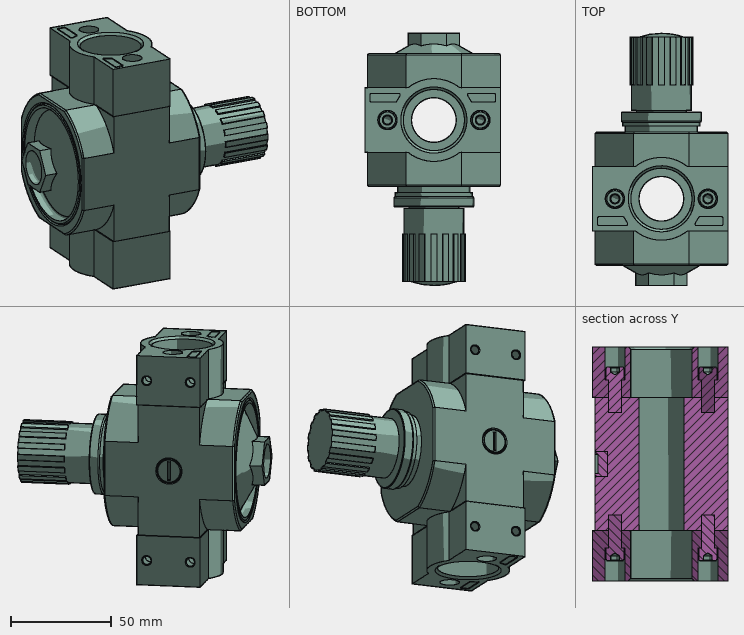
import cadquery as cq
import math


half_width = 33.0
round_radius = 35.8
edge_chamfer = 0.8
cross_half_depth = 15.5
port_dia = 22.0

bonnet_dia = 35.9
flange_dia = 38.4
ring_dia = 39.8
flange_start = 36.0
ring_start = 37.8
ring_end = 43.0
ring_chamfer = 0.4
ring_bevel_length = 0.8

knob_dia = 29.8
neck_dia = 24.9
knob_start = 43.8
rib_start = 56.4
rib_end = 80
rib_tip_dia = 31.2
rib_width = 2.9
rib_count = 16
dome_base_radius = 11.5
knob_top = 82.0

cap_dia = 60.8
cap_depth = 10
seat_chamfer = 0.6
dish_radius = 28.4
dish_fillet = 1.5
cone_base_radius = 26.9
cone_angle = 29.7
dish_floor = -28.6
hex_across_flats = 22.0
hex_end = -43.0
hex_recess_dia = 17.0
hex_recess_depth = 3.8
hex_recess_fillet = 1.1

plug_dia = 12.2
plug_depth = 6.2
plug_chamfer = 0.5
slot_width = 1.2
slot_length = 9.4
slot_depth = 1.5

plate_height = 25
plate_half_depth = 16.0
plate_overhang = 1.1
boss_radius = 20.5
plate_bore_dia = 30.2
bore_chamfer = 1.2
tapped_dia = 4.1
tapped_rim_dia = 5
tapped_depth = 7.5
tapped_offset = 11.0
drill_tip_angle = 118
label_inner = 16.1
label_inset = 2.5
label_top = -8.9
label_bottom = -13.2
label_slope = 60
label_corner = 0.8
label_depth = 0.4

screw_offset = 23.0
counterbore_dia = 9.6
head_dia = 9.2
head_height = 6.2
head_sink = 10
head_chamfer = 0.6
shank_dia = 6.2
shank_reach = 7.5
socket_depth = 2.5

plate_left = -half_width - plate_overhang
plate_right = half_width
plate_top = half_width + plate_height
head_top = plate_top - head_sink
head_bottom = head_top - head_height
shank_end = half_width - shank_reach
screw_places = [-screw_offset, screw_offset]


def disc_y(diameter, start, end):
    """Cylinder on the Y axis between two Y positions."""
    plane = cq.Workplane("XZ", origin=(0, start, 0))
    return plane.circle(diameter / 2).extrude(start - end)


def cylinder_z(diameter, bottom, top):
    """Cylinder on the Z axis between two Z positions."""
    return cq.Workplane("XY", origin=(0, 0, bottom)).circle(diameter / 2).extrude(top - bottom)


def cone_frustum(start_dia, end_dia, length, start, direction):
    """Frustum whose axis runs from the start point along the direction."""
    solid = cq.Solid.makeCone(
        start_dia / 2, end_dia / 2, length, cq.Vector(*start), cq.Vector(*direction))
    return cq.Workplane(solid)


def plug_blank():
    """Plain cylinder that fills the plug seat."""
    return cq.Workplane("YZ", origin=(-half_width, 0, 0)).circle(plug_dia / 2).extrude(plug_depth)


def drilled_hole(depth):
    """Tool for a bevelled blind hole that enters the plane Z = 0 downwards and ends in a drill tip."""
    rim = tapped_rim_dia / 2
    radius = tapped_dia / 2
    bevel = rim - radius
    tip = radius / math.tan(math.radians(drill_tip_angle / 2))
    profile = [(0, 0), (rim, 0), (radius, -bevel), (radius, -depth), (0, -depth - tip)]
    return cq.Workplane("XZ").polyline(profile).close().revolve(360, (0, 0), (0, 1))


def make_collar():
    """Bonnet, flange and ring on the back of the housing."""
    bonnet = disc_y(bonnet_dia, half_width, flange_start)
    flange = disc_y(flange_dia, flange_start, ring_start)
    ring = disc_y(ring_dia, ring_start + ring_bevel_length, ring_end).faces(">Y").chamfer(ring_chamfer)
    bevel = cone_frustum(flange_dia, ring_dia, ring_bevel_length, (0, ring_start, 0), (0, 1, 0))
    ring = ring.union(bevel)
    return bonnet.union(flange).union(ring)


def make_housing():
    side = 2 * half_width
    body = disc_y(2 * round_radius, -half_width, half_width)
    body = body.intersect(cq.Workplane("XY").box(side, side, side))
    body = body.faces("<Y or >Y").chamfer(edge_chamfer)
    body = body.union(cq.Workplane("XY").box(side, 2 * cross_half_depth, side))
    body = body.union(make_collar())
    body = body.cut(cylinder_z(port_dia, -half_width, half_width))

    cap_seat = disc_y(cap_dia, -half_width, cap_depth - half_width)
    body = body.cut(cap_seat)
    cap_rim_dia = cap_dia + 2 * seat_chamfer
    cap_rim = cone_frustum(cap_rim_dia, cap_dia, seat_chamfer, (0, -half_width, 0), (0, 1, 0))
    body = body.cut(cap_rim)

    body = body.cut(plug_blank())
    plug_rim_dia = plug_dia + 2 * plug_chamfer
    plug_rim = cone_frustum(plug_rim_dia, plug_dia, plug_chamfer, (-half_width, 0, 0), (1, 0, 0))
    body = body.cut(plug_rim)

    shank_hole = cylinder_z(shank_dia, shank_end, half_width)
    for x in screw_places:
        upper_hole = shank_hole.translate((x, 0, 0))
        body = body.cut(upper_hole).cut(upper_hole.mirror("XY"))
    return body


def make_knob():
    dome_rise = knob_top - rib_end
    dome_radius = (dome_base_radius**2 + dome_rise**2) / (2 * dome_rise)
    knob = (
        cq.Workplane("XY")
        .moveTo(0, ring_end)
        .lineTo(neck_dia / 2, ring_end)
        .lineTo(neck_dia / 2, knob_start)
        .lineTo(knob_dia / 2, knob_start)
        .lineTo(knob_dia / 2, rib_end)
        .lineTo(dome_base_radius, rib_end)
        .radiusArc((0, knob_top), -dome_radius)
        .close()
        .revolve(360, (0, 0), (0, 1))
    )
    rib_slice = disc_y(rib_tip_dia, rib_start, rib_end)
    rib_blank = cq.Workplane("XY").box(rib_tip_dia, rib_end - rib_start, rib_width)
    rib_pair = rib_blank.translate((0, (rib_start + rib_end) / 2, 0)).intersect(rib_slice)
    for index in range(rib_count // 2):
        knob = knob.union(rib_pair.rotate((0, 0, 0), (0, 1, 0), index * 360 / rib_count))
    return knob


def make_cap():
    cone_slope = math.tan(math.radians(cone_angle))
    cone_end_radius = cone_base_radius - (dish_floor - hex_end) / cone_slope
    back = cap_depth - half_width
    rim_radius = cap_dia / 2
    cap = (
        cq.Workplane("XY")
        .moveTo(0, back)
        .lineTo(rim_radius, back)
        .lineTo(rim_radius, -half_width + seat_chamfer)
        .lineTo(rim_radius - seat_chamfer, -half_width)
        .lineTo(dish_radius, -half_width)
        .lineTo(dish_radius, dish_floor - dish_fillet)
        .radiusArc((cone_base_radius, dish_floor), -dish_fillet)
        .lineTo(cone_end_radius, hex_end)
        .lineTo(0, hex_end)
        .close()
        .revolve(360, (0, 0), (0, 1))
    )
    hex_corners_dia = hex_across_flats / math.cos(math.pi / 6)
    nut = cq.Workplane("XZ", origin=(0, dish_floor, 0)).polygon(6, hex_corners_dia)
    cap = cap.union(nut.extrude(dish_floor - hex_end))
    recess = disc_y(hex_recess_dia, hex_end, hex_end + hex_recess_depth)
    recess = recess.faces(">Y").edges().fillet(hex_recess_fillet)
    return cap.cut(recess)


def make_plug():
    plug = plug_blank().faces("<X").chamfer(plug_chamfer)
    slot = cq.Workplane("YZ", origin=(-half_width, 0, 0)).rect(slot_width, slot_length).extrude(slot_depth)
    return plug.cut(slot)


def label_recess(side, plate_end):
    """Trapezoid recess in the top of the plate; side is -1 on the -X half and 1 on the +X half."""
    run = (label_top - label_bottom) / math.tan(math.radians(label_slope))
    outer = plate_end - side * label_inset
    outline = [
        (outer, label_bottom),
        (outer, label_top),
        (side * (label_inner + run), label_top),
        (side * label_inner, label_bottom),
    ]
    floor = cq.Workplane("XY", origin=(0, 0, plate_top - label_depth))
    return floor.polyline(outline).close().extrude(label_depth).edges("|Z").fillet(label_corner)


def make_plate():
    """Upper connecting plate."""
    middle_x = (plate_left + plate_right) / 2
    middle_z = half_width + plate_height / 2
    plate = cq.Workplane("XY").box(plate_right - plate_left, 2 * plate_half_depth, plate_height)
    plate = plate.translate((middle_x, 0, middle_z))
    plate = plate.union(cylinder_z(2 * boss_radius, half_width, plate_top))

    plate = plate.cut(cylinder_z(plate_bore_dia, half_width, plate_top))
    bore_rim_dia = plate_bore_dia + 2 * bore_chamfer
    bore_rim = cone_frustum(bore_rim_dia, plate_bore_dia, bore_chamfer, (0, 0, plate_top), (0, 0, -1))
    plate = plate.cut(bore_rim)

    screw_hole = cylinder_z(shank_dia, half_width, plate_top)
    screw_hole = screw_hole.union(cylinder_z(counterbore_dia, head_bottom, plate_top))
    for x in screw_places:
        plate = plate.cut(screw_hole.translate((x, 0, 0)))

    side_hole = drilled_hole(tapped_depth).rotate((0, 0, 0), (0, 1, 0), -90)
    for y in (-tapped_offset, tapped_offset):
        plate = plate.cut(side_hole.translate((plate_left, y, middle_z)))

    plate = plate.cut(label_recess(-1, plate_left))
    return plate.cut(label_recess(1, plate_right))


def make_screw():
    """Upper plate screw on the Z axis."""
    head = cylinder_z(head_dia, head_bottom, head_top).faces(">Z").chamfer(head_chamfer)
    shank = cylinder_z(shank_dia, shank_end, head_bottom)
    socket = drilled_hole(socket_depth).translate((0, 0, head_top))
    return head.union(shank).cut(socket)


housing = make_housing()
knob = make_knob()
cap = make_cap()
plug = make_plug()

upper_plate = make_plate()
plates = [upper_plate.val(), upper_plate.mirror("XY").val()]

screws = []
for x in screw_places:
    upper_screw = make_screw().translate((x, 0, 0))
    screws.append(upper_screw.val())
    screws.append(upper_screw.mirror("XY").val())

result = cq.Compound.makeCompound(
    [housing.val(), knob.val(), cap.val(), plug.val(), *plates, *screws])